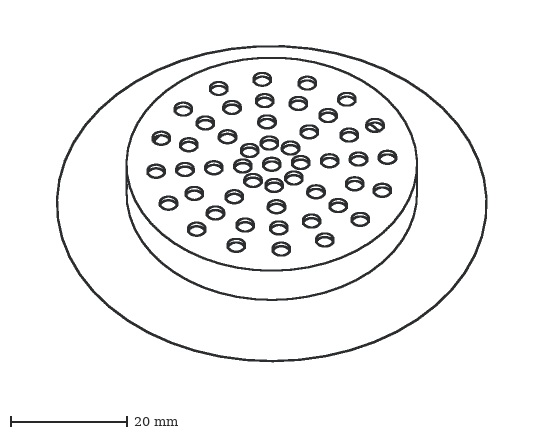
import cadquery as cq
import math

flange_diameter = 74.0
cup_diameter = 50.0
cavity_diameter = 49.0
total_height = 10.0

flange_height = 2.6
underside_height = 1.0

plate_thickness = 0.95

hole_diameter = 3.0
outer_ring_radius = 20.0
holes_per_ring = (8, 8, 16, 16)

flange_radius = flange_diameter / 2
cup_radius = cup_diameter / 2
cavity_radius = cavity_diameter / 2
ring_pitch = outer_ring_radius / len(holes_per_ring)


def strainer_body():
    """Revolve the hollow cup and its sloping, sharp-rimmed flange about Z."""
    plate_underside = total_height - plate_thickness
    profile = (
        cq.Workplane("XZ")
        .moveTo(0, total_height)
        .lineTo(cup_radius, total_height)
        .lineTo(cup_radius, flange_height)
        .lineTo(flange_radius, 0)
        .lineTo(cavity_radius, underside_height)
        .lineTo(cavity_radius, plate_underside)
        .lineTo(0, plate_underside)
        .close()
    )
    return profile.revolve(360, (0, 0, 0), (0, 1, 0))


def drain_holes():
    """Cylinders that pass through the top plate."""
    points = [(0, 0)]
    for ring, count in enumerate(holes_per_ring, start=1):
        radius = ring * ring_pitch
        for i in range(count):
            angle = 2 * math.pi * i / count
            points.append((radius * math.cos(angle), radius * math.sin(angle)))
    return cq.Workplane("XY").pushPoints(points).circle(hole_diameter / 2).extrude(total_height)


result = strainer_body().cut(drain_holes())